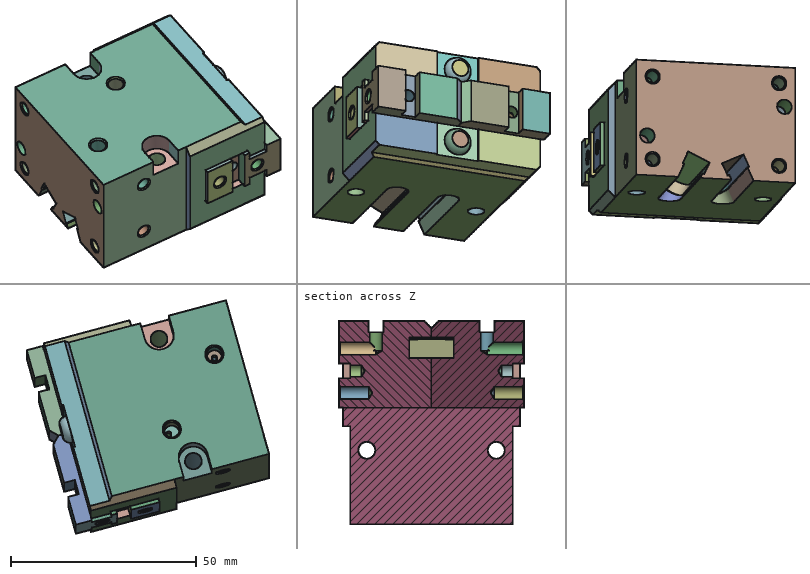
import cadquery as cq
import math


total_length = 55.0
jaw_span = 50.0
housing_thickness = 32.0

front_width = 47.95
edge_chamfer = 2.0
rear_width = front_width - 2 * edge_chamfer
wide_start_y = 26.5
front_edge_chamfer = 0.9

plate_front_y = total_length - 4.5
plate_thickness = 5.5
plate_back_y = plate_front_y - plate_thickness
plate_inset = front_edge_chamfer
plate_gap = 7.15
plate_recess_width = 12.0
plate_recess_depth = 0.5

screw_z = 10.45
screw_head_diameter = 7.5
screw_flat_diameter = 4.7
screw_head_height = 2.2
screw_dome_radius = 3.35
screw_dome_height = 1.3

jaw_height = 12.0
jaw_back_y = total_length - 23.5
jaw_nose_chamfer = 2.0
jaw_neck_inner_x = plate_recess_width / 2
jaw_tip_slot_width = 4.0
jaw_tip_slot_depth = 3.0
jaw_tip_slot_x = 15.0
jaw_tip_hole_depth = 5.0
jaw_side_groove_width = 3.9
jaw_side_groove_depth = 3.0
jaw_side_groove_y = total_length - 13.55
jaw_front_hole_y = total_length - 7.5
jaw_rear_hole_y = total_length - 19.45
jaw_front_hole_depth = jaw_span / 2 - jaw_tip_slot_x
groove_hole_diameter = 3.0
groove_hole_depth = 3.0

drill_tip_angle = 118.0
thread_diameter = 3.3
thread_mouth_diameter = 4.0
thread_depth = 8.0
mount_x = 17.5
rear_thread_z = 11.5
dowel_diameter = 4.0
dowel_depth = 8.0
dowel_x = 19.0
dowel_z = 5.0
side_thread_y = 13.0
side_thread_z = 9.0

bolt_y = 20.0
bolt_diameter = 4.5
bolt_seat_width = 8.0
bolt_seat_depth = 5.0

air_ports = [(-8.5, 23.6, 0.9), (8.45, 7.0, 0)]
port_diameter = 4.2
port_mouth_diameter = 5.0
port_depth = 5.0
passage_diameter = 1.5
passage_depth = 2.75

sensor_slot_tilt = 25.0
sensor_slot_x = 4.7
sensor_slot_z = -10.25
sensor_head_width = 6.55
sensor_head_depth = 3.65
sensor_neck_width = 5.55
sensor_slot_length = 24.75

top_z = housing_thickness / 2


def box(x0, x1, y0, y1, z0, z1):
    """Box between two corners."""
    return cq.Workplane("XY").box(x1 - x0, y1 - y0, z1 - z0, centered=False).translate((x0, y0, z0))


def drill(point, direction, diameter, depth, mouth_diameter=None):
    """Cutter for a blind hole with a drill tip and an optional 45 degree mouth chamfer."""
    radius = diameter / 2
    tip_height = radius / math.tan(math.radians(drill_tip_angle / 2))
    outline = cq.Workplane("XY")
    if mouth_diameter is None:
        outline = outline.lineTo(radius, 0)
    else:
        mouth_radius = mouth_diameter / 2
        outline = outline.lineTo(mouth_radius, 0).lineTo(radius, mouth_radius - radius)
    outline = outline.lineTo(radius, depth).lineTo(0, depth + tip_height).close()
    cutter = outline.revolve(360, (0, 0, 0), (0, 1, 0)).rotate((0, 0, 0), (1, 0, 0), 90)
    plane = cq.Plane(origin=point, normal=direction)
    return cq.Workplane(cutter.val().moved(plane.location))


def flat_hole(point, direction, diameter, depth, mouth_diameter):
    """Cutter for a flat-bottomed hole with a 45 degree mouth chamfer."""
    plane = cq.Plane(origin=point, normal=direction)
    mouth_depth = (mouth_diameter - diameter) / 2
    bore = cq.Workplane(plane).circle(diameter / 2).extrude(depth)
    mouth = cq.Workplane(plane).circle(mouth_diameter / 2).extrude(mouth_depth, taper=45)
    return bore.union(mouth)


def housing_block():
    rear = box(-rear_width / 2, rear_width / 2, 0, wide_start_y, -top_z, top_z)
    front = box(-front_width / 2, front_width / 2, wide_start_y, plate_back_y, -top_z, top_z)
    front = front.edges("|Y").chamfer(edge_chamfer)
    block = rear.union(front)
    return block.faces(">Y").edges("|X").chamfer(front_edge_chamfer)


def cover_plates():
    half_height = top_z - plate_inset
    plates = box(-front_width / 2, front_width / 2, plate_back_y, plate_front_y, -half_height, half_height)
    plates = plates.edges("|Y").chamfer(edge_chamfer - plate_inset)
    opening = box(-front_width, front_width, plate_back_y, plate_front_y, -plate_gap / 2, plate_gap / 2)
    recess = box(
        -plate_recess_width / 2, plate_recess_width / 2,
        plate_front_y - plate_recess_depth, plate_front_y,
        -top_z, top_z,
    )
    return plates.cut(opening).cut(recess)


def screw_head(z):
    """Button head seated on the floor of the plate recess."""
    flat_radius = screw_flat_diameter / 2
    return (
        cq.Workplane("XY")
        .lineTo(screw_head_diameter / 2, 0)
        .threePointArc((screw_dome_radius, screw_dome_height), (flat_radius, screw_head_height))
        .lineTo(0, screw_head_height)
        .close()
        .revolve(360, (0, 0, 0), (0, 1, 0))
        .translate((0, plate_front_y - plate_recess_depth, z))
    )


def jaw_channel():
    half_height = jaw_height / 2
    return box(-front_width, front_width, jaw_back_y, plate_back_y, -half_height, half_height)


def bolt_seat(side):
    hole_x = side * mount_x
    seat_floor = top_z - bolt_seat_depth
    plane = cq.Workplane("XY", origin=(hole_x, bolt_y, seat_floor))
    round_end = plane.circle(bolt_seat_width / 2).extrude(bolt_seat_depth)
    open_length = rear_width / 2 - mount_x
    open_end = (
        plane.center(side * open_length / 2, 0)
        .rect(open_length, bolt_seat_width)
        .extrude(bolt_seat_depth)
    )
    bolt_hole = plane.circle(bolt_diameter / 2).extrude(-housing_thickness)
    return round_end.union(open_end).union(bolt_hole)


def air_port(x, y, passage_shift):
    port = flat_hole((x, y, top_z), (0, 0, -1), port_diameter, port_depth, port_mouth_diameter)
    passage_start = (x, y + passage_shift, top_z - port_depth)
    return port.union(drill(passage_start, (0, 0, -1), passage_diameter, passage_depth))


def sensor_slot(side):
    """T-shaped slot from the rear face to a round end, leaning outward towards the bottom."""
    tilt = math.radians(sensor_slot_tilt)
    plane = cq.Plane(
        origin=(side * sensor_slot_x, 0, sensor_slot_z),
        xDir=(0, 1, 0),
        normal=(side * math.sin(tilt), 0, -math.cos(tilt)),
    )

    def round_ended(width, depth):
        return (
            cq.Workplane(plane)
            .moveTo(0, -width / 2)
            .lineTo(sensor_slot_length, -width / 2)
            .threePointArc((sensor_slot_length + width / 2, 0), (sensor_slot_length, width / 2))
            .lineTo(0, width / 2)
            .close()
            .extrude(depth)
        )

    head = round_ended(sensor_head_width, sensor_head_depth)
    neck = round_ended(sensor_neck_width, housing_thickness / 2)
    return head.union(neck)


def make_housing():
    body = housing_block().union(cover_plates()).cut(jaw_channel())
    for sign in (-1, 1):
        body = body.union(screw_head(sign * screw_z))
        body = body.cut(bolt_seat(sign)).cut(sensor_slot(sign))
        dowel_start = (sign * dowel_x, 0, sign * dowel_z)
        body = body.cut(drill(dowel_start, (0, 1, 0), dowel_diameter, dowel_depth))
        for z_sign in (-1, 1):
            rear_start = (sign * mount_x, 0, z_sign * rear_thread_z)
            body = body.cut(
                drill(rear_start, (0, 1, 0), thread_diameter, thread_depth, thread_mouth_diameter)
            )
            side_start = (sign * rear_width / 2, side_thread_y, z_sign * side_thread_z)
            body = body.cut(
                drill(side_start, (-sign, 0, 0), thread_diameter, thread_depth, thread_mouth_diameter)
            )
    for x, y, passage_shift in air_ports:
        body = body.cut(air_port(x, y, passage_shift))
    return body


def jaw_blank():
    """Jaw on the +X side: head and slide block joined by a neck between the cover plates."""
    half_height = jaw_height / 2
    blank = box(0, jaw_span / 2, jaw_back_y, total_length, -half_height, half_height)
    blank = blank.edges("|Z and <X and >Y").chamfer(jaw_nose_chamfer)
    for sign in (-1, 1):
        plate_zs = sorted((sign * plate_gap / 2, sign * half_height))
        blank = blank.cut(box(0, jaw_span / 2, plate_back_y, plate_front_y, *plate_zs))
    return blank.cut(box(0, jaw_neck_inner_x, plate_back_y, plate_front_y, -half_height, half_height))


def jaw_tip_cut():
    half_width = jaw_tip_slot_width / 2
    floor_y = total_length - jaw_tip_slot_depth
    slot = box(
        jaw_tip_slot_x - half_width, jaw_tip_slot_x + half_width,
        floor_y, total_length,
        -jaw_height / 2, jaw_height / 2,
    )
    hole = drill((jaw_tip_slot_x, floor_y, 0), (0, -1, 0), thread_diameter, jaw_tip_hole_depth)
    return slot.union(hole)


def jaw_side_cuts():
    outer_x = jaw_span / 2
    floor_x = outer_x - jaw_side_groove_depth
    half_width = jaw_side_groove_width / 2
    cuts = box(
        floor_x, outer_x,
        jaw_side_groove_y - half_width, jaw_side_groove_y + half_width,
        -jaw_height / 2, jaw_height / 2,
    )
    cuts = cuts.union(
        drill((floor_x, jaw_side_groove_y, 0), (-1, 0, 0), groove_hole_diameter, groove_hole_depth)
    )
    for y, depth in ((jaw_front_hole_y, jaw_front_hole_depth), (jaw_rear_hole_y, thread_depth)):
        cuts = cuts.union(
            drill((outer_x, y, 0), (-1, 0, 0), thread_diameter, depth, thread_mouth_diameter)
        )
    return cuts


def make_jaw(side):
    """The jaw is symmetric about Z = 0, so a half turn about Y gives the opposite one."""
    jaw = jaw_blank().cut(jaw_tip_cut()).cut(jaw_side_cuts())
    return jaw if side > 0 else jaw.rotate((0, 0, 0), (0, 1, 0), 180)


housing = make_housing()
jaws = [make_jaw(side) for side in (-1, 1)]

result = cq.Compound.makeCompound([housing.solids().val(), *[jaw.solids().val() for jaw in jaws]])